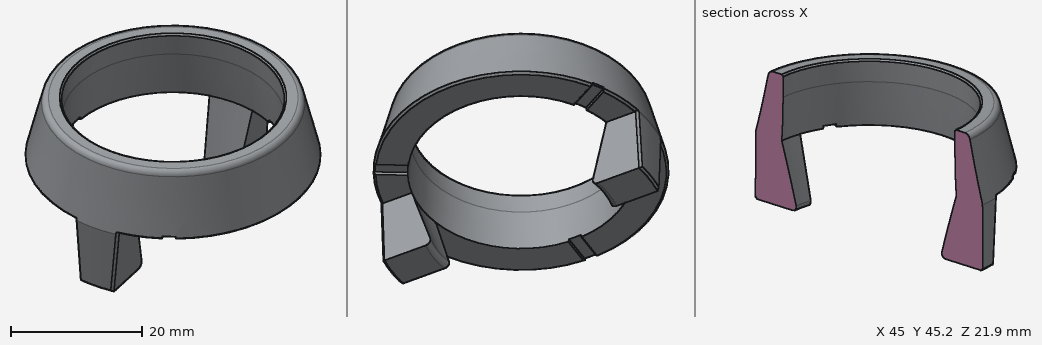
import cadquery as cq
import math

ring_height = 10.95
outer_radius = 22.6
rim_bevel = 0.35
taper_angle = 14
top_fillet = 1.1
taper_slope = math.tan(math.radians(taper_angle))
rim_radius = outer_radius - rim_bevel * taper_slope

bore_top_radius = 34.55 / 2
throat_radius = 17.0
mouth_bevel = bore_top_radius - throat_radius
throat_depth = 3.6
bore_bottom_radius = 17.25

leg_length = 10.98
leg_inner_radius_at_rim = bore_bottom_radius
leg_inner_angle = 16
leg_width_at_rim = 7.7
leg_width_at_foot = 5.95
leg_toe_fillet = 0.8
leg_bevel = 0.35

clearance = 0.45

notch_depth = 0.45
notch_top_bevel = 0.35
notch_width_at_rim = 2.25
notch_width_at_top = 1.8
notch_angles = (60, 180, 300)


def make_ring():
    """Revolved body with a rounded top edge and a beveled lower rim."""
    top_radius = outer_radius - ring_height * taper_slope
    outside = (
        cq.Workplane("XZ")
        .moveTo(0, 0)
        .lineTo(rim_radius - rim_bevel, 0)
        .lineTo(rim_radius, rim_bevel)
        .lineTo(top_radius, ring_height)
        .lineTo(0, ring_height)
        .close()
        .revolve(360, (0, 0), (0, 1))
        .faces(">Z")
        .edges()
        .fillet(top_fillet)
    )
    bore = (
        cq.Workplane("XZ")
        .moveTo(0, 0)
        .lineTo(bore_bottom_radius, 0)
        .lineTo(throat_radius, ring_height - throat_depth)
        .lineTo(throat_radius, ring_height - mouth_bevel)
        .lineTo(bore_top_radius, ring_height)
        .lineTo(0, ring_height)
        .close()
        .revolve(360, (0, 0), (0, 1))
    )
    return outside.cut(bore)


def make_leg():
    """Leg at -Y: a flat-sided wedge with round inner and outer faces."""
    leg_top = rim_bevel
    inner_slope = math.tan(math.radians(leg_inner_angle))
    inner_top = leg_inner_radius_at_rim + leg_top * inner_slope
    inner_foot = leg_inner_radius_at_rim - leg_length * inner_slope
    side_slope = (leg_width_at_rim - leg_width_at_foot) / 2 / leg_length
    half_top = leg_width_at_rim / 2 + leg_top * side_slope
    half_foot = leg_width_at_foot / 2

    flanks = (
        cq.Workplane("XZ")
        .polyline([
            (-half_top, leg_top),
            (half_top, leg_top),
            (half_foot, -leg_length),
            (-half_foot, -leg_length),
        ])
        .close()
        .extrude(outer_radius + clearance)
    )
    sweep = (
        cq.Workplane("XZ")
        .polyline([
            (inner_top, leg_top),
            (rim_radius, leg_top),
            (outer_radius, 0),
            (outer_radius, -leg_length),
            (inner_foot, -leg_length),
        ])
        .close()
        .revolve(360, (0, 0), (0, 1))
    )
    inner_toe_edge = cq.selectors.RadiusNthSelector(0)
    sweep = sweep.faces("<Z").edges(inner_toe_edge).fillet(leg_toe_fillet)
    leg = flanks.intersect(sweep)
    outer_face = leg.faces(cq.selectors.NearestToPointSelector((0, -outer_radius, -leg_length / 2)))
    bevel_zone_low = (-outer_radius, -outer_radius - clearance, -leg_length - clearance)
    bevel_zone_high = (outer_radius, 0, -rim_bevel)
    return outer_face.edges(cq.selectors.BoxSelector(bevel_zone_low, bevel_zone_high)).chamfer(leg_bevel)


def make_notch(angle):
    """Radial cutter with sloping flanks, pointing away from the axis."""
    half_rim = notch_width_at_rim / 2
    half_top = notch_width_at_top / 2
    notch_top = notch_depth + notch_top_bevel
    flanks = (
        cq.Workplane("YZ")
        .polyline([(-half_rim, 0), (half_rim, 0), (half_top, notch_top), (-half_top, notch_top)])
        .close()
        .extrude(outer_radius)
    )
    ceiling = (
        cq.Workplane("XZ")
        .polyline([
            (0, 0),
            (outer_radius, 0),
            (outer_radius, notch_top),
            (outer_radius - notch_top_bevel, notch_depth),
            (0, notch_depth),
        ])
        .close()
        .extrude(half_rim, both=True)
    )
    return flanks.intersect(ceiling).rotate((0, 0, 0), (0, 0, 1), angle)


result = make_ring()
for notch_angle in notch_angles:
    result = result.cut(make_notch(notch_angle))

leg = make_leg()
for leg_angle in (0, 180):
    result = result.union(leg.rotate((0, 0, 0), (0, 0, 1), leg_angle))